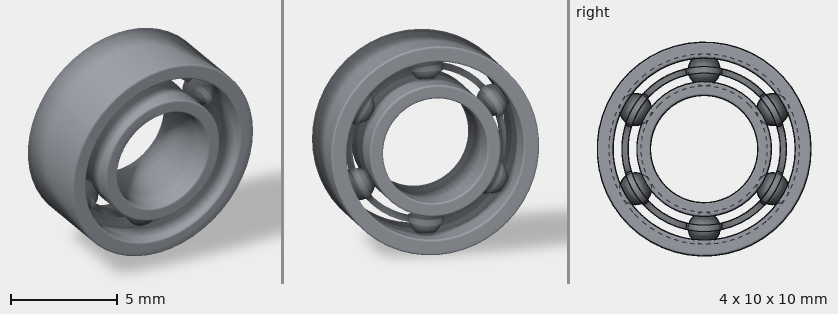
import cadquery as cq
import math

width = 4.0
outer_ring_diameter = 10.0
outer_ring_bore = 8.5
inner_ring_diameter = 6.3
bore_diameter = 5.0
edge_fillet = 0.1

ball_count = 6
ball_diameter = 1.5
ball_radius = ball_diameter / 2
cage_inner_diameter = 7.1
cage_outer_diameter = 7.7
pitch_radius = (cage_inner_diameter + cage_outer_diameter) / 4

cage_band_width = 0.2
cage_wall = 0.1
cage_bulge_diameter = ball_diameter + 2 * cage_wall


def tube(outer_diameter, inner_diameter, length):
    """Hollow cylinder along X, centred on the origin."""
    end_plane = cq.Workplane("YZ", origin=(-length / 2, 0, 0))
    return end_plane.circle(outer_diameter / 2).circle(inner_diameter / 2).extrude(length)


def raceway_torus():
    """Ring of ball-sized cross-section swept around X along the pitch circle."""
    section = cq.Workplane("XY").center(0, pitch_radius).circle(ball_radius)
    return section.revolve(360, (0, -pitch_radius), (1, -pitch_radius))


def bearing_ring(outer_diameter, inner_diameter):
    """Ring with rounded rims and a ball groove."""
    ring = tube(outer_diameter, inner_diameter, width)
    ring = ring.faces("<X or >X").edges().fillet(edge_fillet)
    return ring.cut(raceway_torus())


def sphere_at(center, diameter):
    return cq.Workplane("XY").sphere(diameter / 2).translate(center)


def ball_center(index):
    """Centre of a ball; the first one is straight above the axis."""
    angle = math.radians(90 + index * 360 / ball_count)
    return (0, pitch_radius * math.cos(angle), pitch_radius * math.sin(angle))


ball_centers = [ball_center(index) for index in range(ball_count)]


def ball_cage():
    """Band and bulges trimmed to the cage's inner and outer diameters, with ball pockets."""
    cage = tube(cage_outer_diameter, cage_inner_diameter, cage_band_width)
    trim = tube(cage_outer_diameter, cage_inner_diameter, cage_bulge_diameter)
    for center in ball_centers:
        cage = cage.union(sphere_at(center, cage_bulge_diameter).intersect(trim))
    for center in ball_centers:
        cage = cage.cut(sphere_at(center, ball_diameter))
    return cage


outer_ring = bearing_ring(outer_ring_diameter, outer_ring_bore)
inner_ring = bearing_ring(inner_ring_diameter, bore_diameter)
cage = ball_cage()
balls = [sphere_at(center, ball_diameter) for center in ball_centers]

result = cq.Compound.makeCompound(
    [
        outer_ring.solids().val(),
        inner_ring.solids().val(),
        cage.solids().val(),
        *[ball.val() for ball in balls],
    ]
)